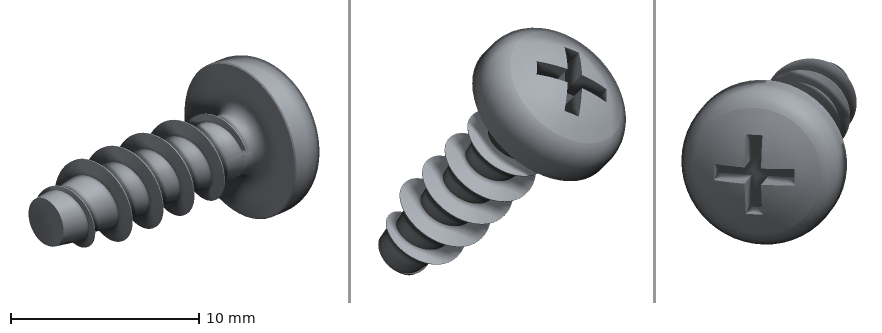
import cadquery as cq
import math


overall_length = 17.34
length = 14.01
tip_y = -length

recess_width = 0.9
recess_length = 4.4
recess_depth = 1.73

head_diameter = 8.8
head_radius = head_diameter / 2
rim_height = 0.95
rim_chamfer = 0.07
crown_radius = 3.54
crown_drop = 0.88
crown_arc_radius = (crown_radius**2 + crown_drop**2) / (2 * crown_drop)
corner_radius = recess_width / math.sqrt(2)
corner_drop = crown_arc_radius - math.sqrt(crown_arc_radius**2 - corner_radius**2)
apex_y = overall_length - length + corner_drop
crown_edge_y = apex_y - crown_drop

shank_radius = 1.72
shank_length = 1.25
neck_fillet = 0.73

pitch = 2.24
start_angle = math.radians(17)
crest_radius = 2.5
crest_width = 0.05
flank_slope = math.tan(math.radians(15))
start_crest_radius = 1.98
runin_turns = 1.0
runout_turns = 1.45
core_large_radius = 1.7
core_small_radius = 1.35
turns = (length - shank_length) / pitch

dish_radius = 1.25
dish_depth = 0.1

buried_radius = 1.04
heart_radius = 1.28
turn_gap = 0.05
tip_overshoot = 0.17
tip_trim_depth = 1.73
core_start_turn = 0.05
samples_per_turn = 24


def revolve(sketch):
    return sketch.close().revolve(360, (0, 0, 0), (0, 1, 0))


def arc_middle(start, end, bulge):
    """Middle point of an arc that rises by bulge to the left of its chord."""
    dx = end[0] - start[0]
    dy = end[1] - start[1]
    chord = math.hypot(dx, dy)
    return (
        (start[0] + end[0]) / 2 - bulge * dy / chord,
        (start[1] + end[1]) / 2 + bulge * dx / chord,
    )


def head_and_shank():
    apex = (0, apex_y)
    crown_edge = (crown_radius, crown_edge_y)
    rim_top = (head_radius, rim_height)
    crown_chord = math.hypot(crown_radius, crown_drop)
    crown_half_angle = math.atan2(crown_drop, crown_radius)
    crown_bulge = crown_chord / 2 * math.tan(crown_half_angle / 2)
    shoulder_width = head_radius - crown_radius
    shoulder_height = crown_edge_y - rim_height
    shoulder_chord = math.hypot(shoulder_width, shoulder_height)
    shoulder_half_angle = math.atan2(shoulder_width, shoulder_height)
    shoulder_bulge = shoulder_chord / 2 * math.tan(shoulder_half_angle / 2)
    neck_top = (shank_radius + neck_fillet, 0)
    neck_bottom = (shank_radius, -neck_fillet)
    neck_bulge = neck_fillet * (1 - math.sqrt(0.5))
    neck_middle = (shank_radius + neck_bulge, -neck_bulge)
    return revolve(
        cq.Workplane("XY")
        .moveTo(*apex)
        .threePointArc(arc_middle(apex, crown_edge, crown_bulge), crown_edge)
        .threePointArc(arc_middle(crown_edge, rim_top, shoulder_bulge), rim_top)
        .lineTo(head_radius, rim_chamfer)
        .lineTo(head_radius - rim_chamfer, 0)
        .lineTo(*neck_top)
        .threePointArc(neck_middle, neck_bottom)
        .lineTo(shank_radius, -shank_length - turn_gap)
        .lineTo(heart_radius, -shank_length - turn_gap)
        .lineTo(heart_radius, tip_y)
        .lineTo(0, tip_y)
    )


def cross_recess():
    center_y = apex_y - recess_depth / 2
    wing = cq.Workplane("XY").box(recess_length, recess_depth, recess_width)
    cross = wing.union(wing.rotate((0, 0, 0), (0, 1, 0), 90))
    return cross.translate((0, center_y, 0))


def thread_y(turn):
    return -shank_length - pitch * turn


def helical_solid(profile, breaks):
    """Solid swept by a changing polygon; profile(turn) lists its (radius, y) corners.

    The breaks are the turns where the profile changes its law.
    """
    def corners(turn):
        angle = start_angle + 2 * math.pi * turn
        return [cq.Vector(r * math.cos(angle), y, r * math.sin(angle)) for r, y in profile(turn)]

    faces = []
    for first, last in zip(breaks, breaks[1:]):
        count = math.ceil((last - first) * samples_per_turn)
        sections = [corners(first + (last - first) * i / count) for i in range(count + 1)]
        edges = [cq.Edge.makeSpline(list(path)) for path in zip(*sections)]
        for edge, neighbour in zip(edges, edges[1:] + edges[:1]):
            faces.append(cq.Face.makeRuledSurface(edge, neighbour))
    for end in (breaks[0], breaks[-1]):
        faces.append(cq.Face.makeFromWires(cq.Wire.makePolygon(corners(end), close=True)))
    return cq.Workplane(cq.Solid.makeSolid(cq.Shell.makeShell(faces)).fix())


def thread():
    runout_start = turns - runout_turns

    def crest(turn):
        if turn < runin_turns:
            return start_crest_radius + (crest_radius - start_crest_radius) * turn / runin_turns
        fade = max(0, turn - runout_start) / runout_turns
        return crest_radius + (core_small_radius - crest_radius) * fade

    def profile(turn):
        y = thread_y(turn)
        tip_half = crest_width / 2
        root_half = tip_half + (crest(turn) - buried_radius) * flank_slope
        return [
            (buried_radius, y + root_half),
            (crest(turn), y + tip_half),
            (crest(turn), y - tip_half),
            (buried_radius, y - root_half),
        ]

    return helical_solid(profile, [0, runin_turns, runout_start, turns])


def tapered_core():
    """Core wedge between each turn and the one before it, narrowing toward the tip.

    The first turn fans out from the end of the shank and the last one runs into the tip circle.
    """
    def upper_radius(turn):
        if turn < 1:
            return shank_radius + (core_large_radius - shank_radius) * turn
        fade = max(0, turn - turns)
        return core_large_radius + (core_small_radius - core_large_radius) * fade

    def lower_radius(turn):
        ease = (1 - math.cos(math.pi * min(turn, 1))) / 2
        return shank_radius + (core_small_radius - shank_radius) * ease

    def profile(turn):
        upper_y = min(thread_y(turn - 1), -shank_length) - turn_gap
        lower_y = max(thread_y(turn), tip_y - tip_overshoot)
        return [
            (buried_radius, upper_y),
            (upper_radius(turn), upper_y),
            (lower_radius(turn), lower_y),
            (buried_radius, lower_y),
        ]

    overshoot_turn = turns + tip_overshoot / pitch
    return helical_solid(profile, [core_start_turn, 1, turns, overshoot_turn, turns + 1])


def tip_trim():
    """Block below the tip, topped by a shallow spherical bump that leaves the dish."""
    block = cq.Workplane("XZ", origin=(0, tip_y, 0)).circle(crest_radius).extrude(tip_trim_depth)
    bump = revolve(
        cq.Workplane("XY")
        .moveTo(0, tip_y - tip_overshoot)
        .lineTo(dish_radius, tip_y - tip_overshoot)
        .lineTo(dish_radius, tip_y)
        .threePointArc(
            (dish_radius * math.sqrt(0.5), tip_y + dish_depth / 2),
            (0, tip_y + dish_depth),
        )
    )
    return block.union(bump)


screw = head_and_shank().union(tapered_core()).union(thread())
result = screw.cut(tip_trim()).cut(cross_recess())